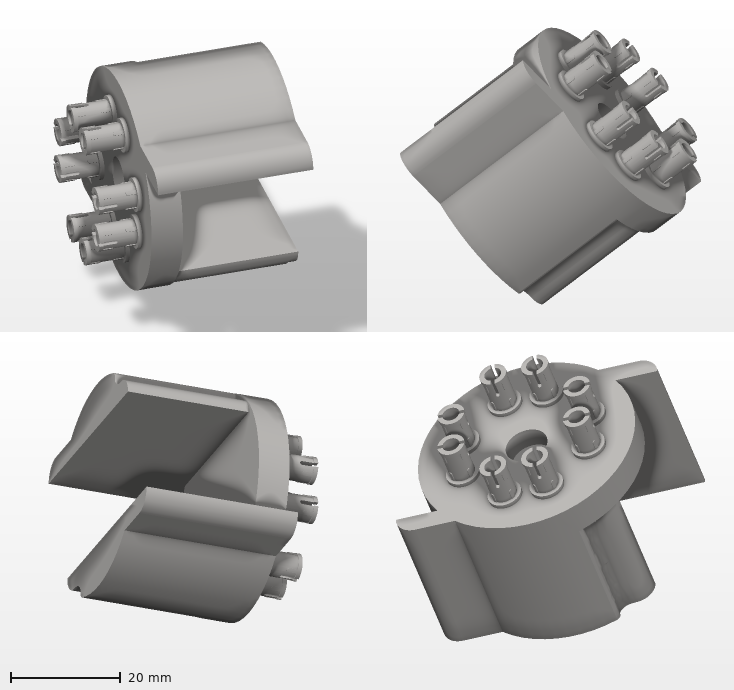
import cadquery as cq
import math


overall_width = 49.9
housing_diameter = 41.45
housing_length = 29.55
face_plate_thickness = 6.0
fin_inner_height = 11.9
fin_thickness = 3.7
center_hole_diameter = 8.0
center_hole_depth = 4.0

lip_tip_x = 15.45
channel_foot_x = 9.25
channel_foot_height = 16.45
channel_wall_x = 8.75
channel_wall_low_height = 17.35
channel_wall_high_height = 18.35
channel_edge_x = 8.2

pin_length = 8.0
flange_diameter = 6.4
flange_thickness = 0.8
shaft_diameter = 4.8
collar_diameter = 5.15
collar_thickness = 0.8
bore_diameter = 3.2
tip_slot_width = 0.75
tip_slot_length = 3.5
pad_width = 0.75
pad_length = 2.0
pad_diameter = 5.1
pad_angles = (45, 135, 225, 315)
pin_near_offset = 4.0
pin_far_offset = 12.0

housing_radius = housing_diameter / 2
fin_outer_height = fin_inner_height + fin_thickness
fin_tip_x = overall_width / 2
fin_corner_x = fin_tip_x - fin_thickness
channel_edge_height = math.sqrt(housing_radius**2 - channel_edge_x**2)
lip_corner_x = lip_tip_x - fin_thickness
quarter_arc = fin_thickness * math.sqrt(0.5)


def cylinder(diameter, start_y, end_y):
    """Cylinder on the Y axis between two y positions."""
    disc = cq.Workplane("XZ", origin=(0, end_y, 0)).circle(diameter / 2)
    return disc.extrude(end_y - start_y)


def make_fin():
    """Upper +X fin: flat inner side and a quarter-round outer tip."""
    return (
        cq.Workplane("XZ")
        .moveTo(0, fin_inner_height)
        .lineTo(fin_tip_x, fin_inner_height)
        .threePointArc(
            (fin_corner_x + quarter_arc, fin_inner_height + quarter_arc),
            (fin_corner_x, fin_outer_height),
        )
        .lineTo(0, fin_outer_height)
        .close()
        .extrude(-housing_length)
    )


def make_side_channel():
    """Cutter for the upper -X channel, behind the face plate."""
    outside = overall_width / 2
    return (
        cq.Workplane("XZ", origin=(0, face_plate_thickness, 0))
        .moveTo(-outside, fin_inner_height)
        .lineTo(-lip_tip_x, fin_inner_height)
        .threePointArc(
            (-lip_corner_x - quarter_arc, fin_inner_height + quarter_arc),
            (-lip_corner_x, fin_outer_height),
        )
        .spline(
            [
                (-channel_foot_x, channel_foot_height),
                (-channel_wall_x, channel_wall_low_height),
                (-channel_wall_x, channel_wall_high_height),
                (-channel_edge_x, channel_edge_height),
            ],
            tangents=[(1, 0), (1, 1)],
            includeCurrent=True,
        )
        .lineTo(-channel_edge_x, outside)
        .lineTo(-outside, outside)
        .close()
        .extrude(face_plate_thickness - housing_length)
    )


def half_turn(shape):
    """Copy of a shape turned half a turn about the housing axis."""
    return shape.rotate((0, 0, 0), (0, 1, 0), 180)


def make_housing():
    """Drum with an open middle behind its face plate, side channels and two fins."""
    drum = cylinder(housing_diameter, 0, housing_length)
    open_length = housing_length - face_plate_thickness
    open_middle = cq.Workplane("XY").box(
        overall_width, open_length, 2 * fin_inner_height, centered=(True, False, True)
    ).translate((0, face_plate_thickness, 0))
    channel = make_side_channel()
    fin = make_fin()

    body = drum.cut(channel).cut(half_turn(channel))
    body = body.union(fin).union(half_turn(fin))
    body = body.cut(open_middle)
    return body.cut(cylinder(center_hole_diameter, 0, center_hole_depth))


def make_round_ended_bar(width, start_y, end_y, height, round_at_start):
    """Bar along Y rising from z = 0, with one rounded end and one square end."""
    radius = width / 2
    round_y = start_y + radius if round_at_start else end_y - radius
    square_y = end_y if round_at_start else start_y
    straight = cq.Workplane("XY").center(0, (round_y + square_y) / 2)
    straight = straight.rect(width, abs(square_y - round_y)).extrude(height)
    rounding = cq.Workplane("XY").center(0, round_y).circle(radius).extrude(height)
    return straight.union(rounding)


def make_pin():
    """Hollow pin on the Y axis, with its tip slot running along Z."""
    flange_front = -flange_thickness
    collar_back = collar_thickness - pin_length

    pads = make_round_ended_bar(
        pad_width, flange_front - pad_length, flange_front, flange_diameter, True
    ).union(make_round_ended_bar(
        pad_width, collar_back, collar_back + pad_length, flange_diameter, False
    ))
    pad_envelope = cylinder(pad_diameter, -pin_length, 0)

    pin = cylinder(shaft_diameter, -pin_length, 0)
    for angle in pad_angles:
        pin = pin.union(pads.rotate((0, 0, 0), (0, 1, 0), angle).intersect(pad_envelope))
    pin = pin.union(cylinder(flange_diameter, flange_front, 0))
    pin = pin.union(cylinder(collar_diameter, -pin_length, collar_back))
    pin = pin.cut(cylinder(bore_diameter, -pin_length, 0))

    slot = make_round_ended_bar(
        tip_slot_width, -pin_length, tip_slot_length - pin_length, 2 * flange_diameter, False
    ).translate((0, 0, -flange_diameter))
    return pin.cut(slot)


def make_pins():
    """Four pairs of pins; the slot of each pin runs along its pair's far offset."""
    upright_pin = make_pin()
    sideways_pin = upright_pin.rotate((0, 0, 0), (0, 1, 0), 90)
    pins = []
    for far in (-pin_far_offset, pin_far_offset):
        for near in (-pin_near_offset, pin_near_offset):
            pins.append(upright_pin.translate((near, 0, far)))
            pins.append(sideways_pin.translate((far, 0, near)))
    return pins


housing = make_housing()
pins = make_pins()
result = cq.Compound.makeCompound([housing.val(), *[pin.val() for pin in pins]])